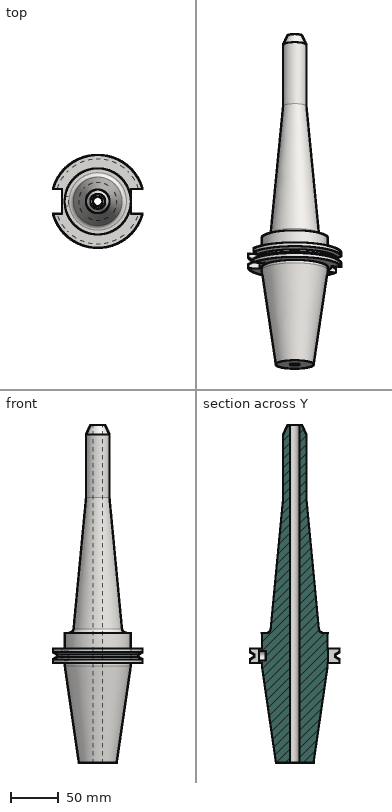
import cadquery as cq
import math

total_height = 355.5
taper_height = 101.7
flange_bottom = 105.0
flange_height = 15.5
flange_top = flange_bottom + flange_height
collar_top = 137.0
cone_top = 279.0
tip_chamfer_height = 10.0

body_radius = 35.0
taper_ratio = 7 / 24
taper_end_radius = body_radius - taper_height * taper_ratio / 2
flange_radius = 49.0
nose_radius = 12.5
tip_radius = 8.0
bore_radius = 5.0

root_fillet_radius = 4.5
root_outer_radius = 30.2
root_center_height = collar_top + root_fillet_radius

groove_root_radius = 44.8
groove_width = 7.5
groove_half_angle = 30
groove_root_width = groove_width - 2 * (flange_radius - groove_root_radius) * math.tan(
    math.radians(groove_half_angle)
)

slot_width = 26.0
left_slot_floor = 37.7
right_slot_floor = 35.2
slot_hole_radius = 5.0
slot_hole_depth = 7.0

flange_middle = flange_bottom + flange_height / 2


def cone_tangent_point():
    """Point (radius, height) where the line from the cone top touches the root fillet."""
    radial = nose_radius - root_outer_radius
    axial = cone_top - root_center_height
    distance = math.hypot(radial, axial)
    angle = math.atan2(axial, radial) + math.acos(root_fillet_radius / distance)
    return fillet_point(angle)


def fillet_point(angle):
    return (
        root_outer_radius + root_fillet_radius * math.cos(angle),
        root_center_height + root_fillet_radius * math.sin(angle),
    )


def make_body():
    """Revolve the taper, flange blank, collar, cone and nose as one profile."""
    return (
        cq.Workplane("XZ")
        .lineTo(taper_end_radius, 0)
        .lineTo(body_radius, taper_height)
        .lineTo(body_radius, flange_bottom)
        .lineTo(flange_radius, flange_bottom)
        .lineTo(flange_radius, flange_top)
        .lineTo(body_radius, flange_top)
        .lineTo(body_radius, collar_top)
        .lineTo(root_outer_radius, collar_top)
        .threePointArc(fillet_point(math.radians(225)), cone_tangent_point())
        .lineTo(nose_radius, cone_top)
        .lineTo(nose_radius, total_height - tip_chamfer_height)
        .lineTo(tip_radius, total_height)
        .lineTo(0, total_height)
        .close()
        .revolve(360, (0, 0, 0), (0, 1, 0))
    )


def make_groove():
    return (
        cq.Workplane("XZ")
        .polyline([
            (flange_radius, flange_middle - groove_width / 2),
            (groove_root_radius, flange_middle - groove_root_width / 2),
            (groove_root_radius, flange_middle + groove_root_width / 2),
            (flange_radius, flange_middle + groove_width / 2),
        ])
        .close()
        .revolve(360, (0, 0, 0), (0, 1, 0))
    )


def make_slot(side, floor):
    """Block that cuts a drive slot on the given X side (-1 or 1)."""
    depth = flange_radius - floor
    return cq.Workplane("XY").box(depth, slot_width, flange_height).translate(
        (side * (floor + depth / 2), 0, flange_middle)
    )


def make_slot_hole():
    """Blind hole entering the deeper flat of the left slot along +X."""
    return (
        cq.Workplane("YZ", origin=(-left_slot_floor, 0, flange_middle))
        .circle(slot_hole_radius)
        .extrude(slot_hole_depth)
    )


bore = cq.Workplane("XY").circle(bore_radius).extrude(total_height)

result = (
    make_body()
    .cut(make_groove())
    .cut(make_slot(-1, left_slot_floor))
    .cut(make_slot(1, right_slot_floor))
    .cut(make_slot_hole())
    .cut(bore)
)